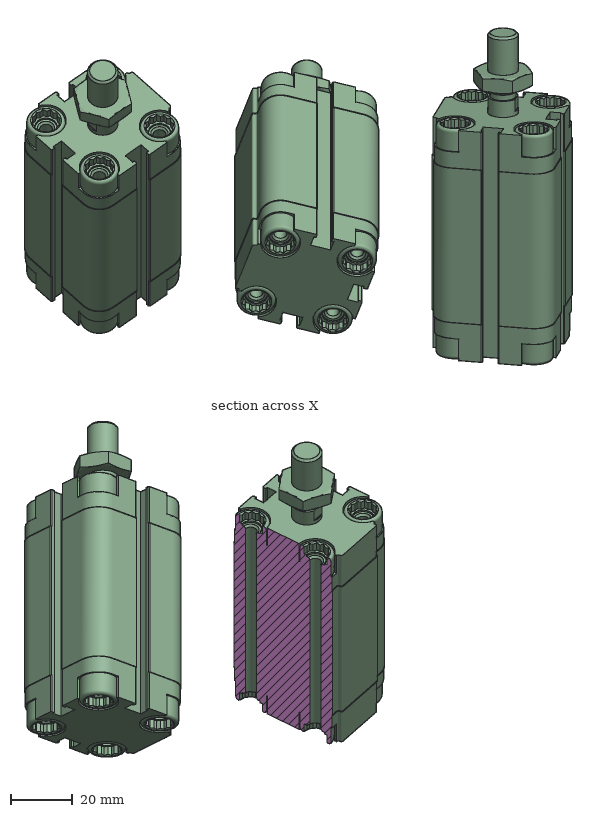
import cadquery as cq
import math

OVERALL_HEIGHT = 107.0

HOUSING_WIDTH = 40.0
HOUSING_HEIGHT = 79.5
CAP_HEIGHT = 13.1
CAP_INSET = 0.27
BOLT_SPACING = 26.0

PAD_HALF_WIDTH = 9.8
PAD_RISE = 1.5
PAD_EDGE_FILLET = 0.6
PAD_ROOT_FILLET = 0.6

SLOT_OPENING = 5.2
SLOT_INNER_WIDTH = 6.7
SLOT_LIP = 1.6
SLOT_DEPTH = 5.1
SLOT_MOUTH_CHAMFER = 0.3

CORNER_CUT_START = 10.4
CORNER_CUT_HEIGHT = 7.5
HEAD_DIAMETER = 12.5
HEAD_CLEARANCE = 0.2
HEAD_FILLET = 1.1
SOCKET_FLATS = 8.1
SOCKET_DEPTH = 3.3
SOCKET_MOUTH_DIAMETER = 10.0
SOCKET_MOUTH_DEPTH = 0.5
FLOOR_RECESS_DIAMETER = 7.2
FLOOR_RECESS_DEPTH = 0.6
FUNNEL_DIAMETER = 5.6
BOLT_BORE_DIAMETER = 4.2

ROD_DIAMETER = 10.0
ROD_TIP_CHAMFER = 0.7
NECK_DIAMETER = 8.5
NECK_BOTTOM = 85.1
NECK_TOP = 86.9
WRENCH_FLATS = 9.0
WRENCH_FLAT_BOTTOM = 80.9

NUT_FLATS = 17.0
NUT_BOTTOM = 89.1
NUT_HEIGHT = 4.9
NUT_CHAMFER_HEIGHT = 0.4

BOLT_OFFSET = BOLT_SPACING / 2
CORNER_RADIUS = HOUSING_WIDTH / 2 - BOLT_OFFSET
ROD_RADIUS = ROD_DIAMETER / 2
HALF_HEXAGON_STEP = 30
BOLT_CENTRES = [(sx * BOLT_OFFSET, sy * BOLT_OFFSET) for sx in (-1, 1) for sy in (-1, 1)]


def cylinder(diameter, bottom, top):
    return cq.Workplane("XY").workplane(offset=bottom).circle(diameter / 2).extrude(top - bottom)


def slot_cutter(face, bottom, height):
    """T-slot cutter for the -Y side, whose face lies at the given distance from the axis."""
    half_opening = SLOT_OPENING / 2
    half_inner = SLOT_INNER_WIDTH / 2
    half_mouth = half_opening + SLOT_MOUTH_CHAMFER
    lip_back = -HOUSING_WIDTH / 2 + SLOT_LIP
    floor = -HOUSING_WIDTH / 2 + SLOT_DEPTH
    right_side = [
        (half_mouth, -face),
        (half_opening, -face + SLOT_MOUTH_CHAMFER),
        (half_opening, lip_back),
        (half_inner, lip_back),
        (half_inner, floor),
    ]
    left_side = [(-x, y) for x, y in reversed(right_side)]
    outline = cq.Workplane("XY").workplane(offset=bottom).polyline(right_side + left_side).close()
    return outline.extrude(height)


def profile_block(inset, bottom, top):
    """Length of housing profile with its back pad and T-slots, set inside the tube outline by the inset."""
    height = top - bottom
    face = HOUSING_WIDTH / 2 - inset
    block = (
        cq.Workplane("XY").workplane(offset=bottom).rect(2 * face, 2 * face).extrude(height)
        .edges("|Z").fillet(CORNER_RADIUS - inset)
    )
    pad_side = PAD_HALF_WIDTH - inset
    pad_back = face + PAD_RISE
    pad = (
        cq.Workplane("XY").workplane(offset=bottom)
        .center(0, pad_back / 2).rect(2 * pad_side, pad_back).extrude(height)
    )
    block = block.union(pad)
    for corner_y, radius in ((pad_back, PAD_EDGE_FILLET), (face, PAD_ROOT_FILLET)):
        for x in (-pad_side, pad_side):
            corner = cq.selectors.NearestToPointSelector((x, corner_y, (bottom + top) / 2))
            block = block.edges(corner).fillet(radius)
    slot = slot_cutter(face, bottom, height)
    for angle in (-90, 0, 90):
        block = block.cut(slot.rotate((0, 0, 0), (0, 0, 1), angle))
    return block


def bolt_head():
    """Bolt head at the origin with its rounded rim and twelve-point socket, flush with the cap face."""
    bottom = HOUSING_HEIGHT - CORNER_CUT_HEIGHT
    head = cylinder(HEAD_DIAMETER, bottom, HOUSING_HEIGHT).faces(">Z").edges().fillet(HEAD_FILLET)

    socket_floor = HOUSING_HEIGHT - SOCKET_DEPTH
    hexagon = (
        cq.Workplane("XY").workplane(offset=socket_floor)
        .polygon(6, SOCKET_FLATS / math.cos(math.radians(HALF_HEXAGON_STEP))).extrude(SOCKET_DEPTH)
    )
    mouth = cq.Workplane(cq.Solid.makeCone(
        SOCKET_FLATS / 2, SOCKET_MOUTH_DIAMETER / 2, SOCKET_MOUTH_DEPTH,
        pnt=cq.Vector(0, 0, HOUSING_HEIGHT - SOCKET_MOUTH_DEPTH),
    ))
    recess_floor = socket_floor - FLOOR_RECESS_DEPTH
    recess = cylinder(FLOOR_RECESS_DIAMETER, recess_floor, socket_floor)
    funnel_depth = (FUNNEL_DIAMETER - BOLT_BORE_DIAMETER) / 2
    funnel = cq.Workplane(cq.Solid.makeCone(
        BOLT_BORE_DIAMETER / 2, FUNNEL_DIAMETER / 2, funnel_depth,
        pnt=cq.Vector(0, 0, recess_floor - funnel_depth),
    ))
    turned_hexagon = hexagon.rotate((0, 0, 0), (0, 0, 1), HALF_HEXAGON_STEP)
    return head.cut(hexagon).cut(turned_hexagon).cut(mouth).cut(recess).cut(funnel)


def top_cap():
    cap = profile_block(CAP_INSET, HOUSING_HEIGHT - CAP_HEIGHT, HOUSING_HEIGHT)
    head = bolt_head()
    cut_bottom = HOUSING_HEIGHT - CORNER_CUT_HEIGHT
    cut_side = HOUSING_WIDTH / 2 - CORNER_CUT_START
    cut_centre = CORNER_CUT_START + cut_side / 2
    for x, y in BOLT_CENTRES:
        corner_cut = (
            cq.Workplane("XY").workplane(offset=cut_bottom)
            .center(math.copysign(cut_centre, x), math.copysign(cut_centre, y))
            .rect(cut_side, cut_side).extrude(CORNER_CUT_HEIGHT)
        )
        counterbore = cylinder(HEAD_DIAMETER + 2 * HEAD_CLEARANCE, cut_bottom, HOUSING_HEIGHT)
        cap = cap.cut(corner_cut).cut(counterbore.translate((x, y, 0)))
        cap = cap.union(head.translate((x, y, 0)))
    return cap


def make_housing():
    cap = top_cap()
    mirrored_cap = cap.mirror("XY").translate((0, 0, HOUSING_HEIGHT))
    body = profile_block(0, CAP_HEIGHT, HOUSING_HEIGHT - CAP_HEIGHT).union(cap).union(mirrored_cap)
    for x, y in BOLT_CENTRES:
        body = body.cut(cylinder(BOLT_BORE_DIAMETER, 0, HOUSING_HEIGHT).translate((x, y, 0)))
    return body


def make_rod():
    """Turned rod standing on the top cap, with a necked shoulder and two wrench flats."""
    neck_radius = NECK_DIAMETER / 2
    cone_height = ROD_RADIUS - neck_radius
    tip_radius = ROD_RADIUS - ROD_TIP_CHAMFER
    rod = (
        cq.Workplane("XZ")
        .moveTo(0, HOUSING_HEIGHT)
        .lineTo(ROD_RADIUS, HOUSING_HEIGHT)
        .lineTo(ROD_RADIUS, NECK_BOTTOM)
        .lineTo(neck_radius, NECK_BOTTOM)
        .lineTo(neck_radius, NECK_TOP)
        .lineTo(ROD_RADIUS, NECK_TOP + cone_height)
        .lineTo(ROD_RADIUS, OVERALL_HEIGHT - ROD_TIP_CHAMFER)
        .lineTo(tip_radius, OVERALL_HEIGHT)
        .lineTo(0, OVERALL_HEIGHT)
        .close().revolve(360, (0, 0, 0), (0, 1, 0))
    )
    flat_height = NECK_BOTTOM - WRENCH_FLAT_BOTTOM
    for side in (-1, 1):
        flat_cut = (
            cq.Workplane("XY").workplane(offset=WRENCH_FLAT_BOTTOM)
            .center(0, side * (WRENCH_FLATS + ROD_DIAMETER) / 2)
            .rect(ROD_DIAMETER, ROD_DIAMETER).extrude(flat_height)
        )
        rod = rod.cut(flat_cut)
    return rod


def make_nut():
    """Hexagon nut on the rod, with its corners chamfered by a cone at both ends."""
    top = NUT_BOTTOM + NUT_HEIGHT
    flat_radius = NUT_FLATS / 2
    corner_radius = flat_radius / math.cos(math.radians(HALF_HEXAGON_STEP))
    hexagon = (
        cq.Workplane("XY").workplane(offset=NUT_BOTTOM)
        .polygon(6, 2 * corner_radius).extrude(NUT_HEIGHT)
        .rotate((0, 0, 0), (0, 0, 1), HALF_HEXAGON_STEP)
    )
    chamfer_envelope = (
        cq.Workplane("XZ")
        .moveTo(0, NUT_BOTTOM)
        .lineTo(flat_radius, NUT_BOTTOM)
        .lineTo(corner_radius, NUT_BOTTOM + NUT_CHAMFER_HEIGHT)
        .lineTo(corner_radius, top - NUT_CHAMFER_HEIGHT)
        .lineTo(flat_radius, top)
        .lineTo(0, top)
        .close().revolve(360, (0, 0, 0), (0, 1, 0))
    )
    return hexagon.intersect(chamfer_envelope).cut(cylinder(ROD_DIAMETER, NUT_BOTTOM, top))


housing = make_housing()
rod = make_rod()
nut = make_nut()

result = cq.Compound.makeCompound([housing.val(), rod.val(), nut.val()])